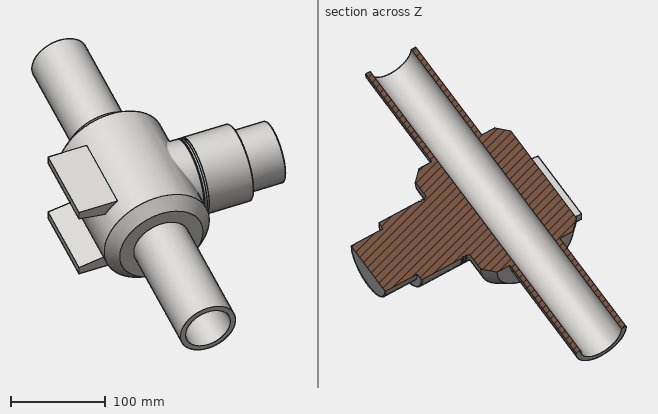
import cadquery as cq
import math

pipe_length = 414.0
pipe_diameter = 63.0
bore_diameter = 51.0

body_length = 154.0
body_diameter = 120.0
body_chamfer = 12.5

housing_diameter = 85.0
housing_end = 120.0
housing_chamfer = 1.0
cap_diameter = 68.0
cap_end = 160.0
cap_chamfer = 1.0

weld_fillet = 1.5

groove_depth = 1.0
groove_spans = [(63.2, 64.2), (66.7, 69.0)]

foot_width = 86.0
foot_reach = 80.0
foot_outer_height = 48.0
foot_tip_thickness = 10.0
foot_taper_angle = 9.5
foot_root = 35.0


def cylinder_along_x(diameter, length):
    """Cylinder centred on the origin with its axis on X."""
    return cq.Workplane("YZ").circle(diameter / 2).extrude(length / 2, both=True)


def cylinder_along_y(diameter, start, end):
    """Cylinder on the Y axis between two Y positions, start < end."""
    plane = cq.Workplane("XZ", origin=(0, end, 0))
    return plane.circle(diameter / 2).extrude(end - start)


def make_body():
    return cylinder_along_x(body_diameter, body_length).edges().chamfer(body_chamfer)


def make_stem():
    housing = cylinder_along_y(housing_diameter, 0, housing_end)
    housing = housing.faces(">Y").edges().chamfer(housing_chamfer)
    cap = cylinder_along_y(cap_diameter, 0, cap_end)
    cap = cap.faces(">Y").edges().chamfer(cap_chamfer)
    for start, end in groove_spans:
        ring = cylinder_along_y(housing_diameter, start, end)
        core = cylinder_along_y(housing_diameter - 2 * groove_depth, start, end)
        housing = housing.cut(ring.cut(core))
    return housing.union(cap)


def make_body_with_stem():
    """Body and stem joined, with a fillet along the saddle curve where they meet."""
    joined = make_body().union(make_stem())
    saddle_edges = joined.edges("(not %CIRCLE) and (not %LINE)")
    return saddle_edges.fillet(weld_fillet)


def make_foot():
    """Upper foot: flat on its outer side, tapering thinner towards the tip."""
    tip_inner_height = foot_outer_height - foot_tip_thickness
    taper_drop = (foot_reach - foot_root) * math.tan(math.radians(foot_taper_angle))
    profile = [
        (-foot_root, foot_outer_height),
        (-foot_reach, foot_outer_height),
        (-foot_reach, tip_inner_height),
        (-foot_root, tip_inner_height - taper_drop),
    ]
    return cq.Workplane("YZ").polyline(profile).close().extrude(foot_width / 2, both=True)


upper_foot = make_foot()
lower_foot = upper_foot.mirror("XY")
pipe = cylinder_along_x(pipe_diameter, pipe_length)
bore = cylinder_along_x(bore_diameter, pipe_length)

solid_parts = make_body_with_stem().union(pipe).union(upper_foot).union(lower_foot)
result = solid_parts.cut(bore)